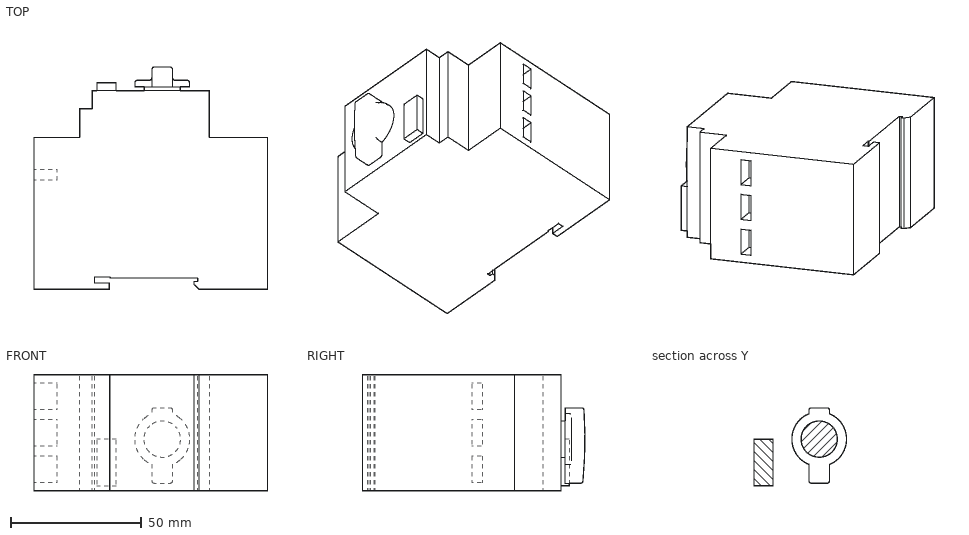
import cadquery as cq
import math

housing_length = 89.9
housing_height = 44.7
shoulder_y = 58.5
tower_left = 17.6
tower_right = 67.5
ledge_y = 69.5
face_left = 22.4
face_y = 76.4

rail_floor_y = 4.4
hook_left = 23.4
hook_right = 29.0
hook_bottom_y = 2.5
hook_top_y = 4.8
rail_step_x = 29.3
catch_root_x = 62.9
catch_top_y = 3.15
catch_tip_x = 61.5
catch_tip_y = 2.0
catch_base_x = 63.6

slot_count = 3
slot_pitch = 14.0
slot_width = 4.1
slot_height = 10.1
slot_depth = 9.0
slot_y = 44.1

block_x = 24.3
block_width = 7.4
block_z = 1.9
block_height = 18.0
block_top_y = 79.6

axis_x = 49.4
axis_z = 19.9
collar_diameter = 14.0
collar_thickness = 1.5
disc_diameter = 21.1
disc_thickness = 2.5
grip_width = 8.0
grip_above_axis = 12.05
grip_below_axis = 17.0
grip_crown_y = 85.6
grip_crown_radius = 170.8
knob_fillet = 1.0

knob_base_y = face_y + collar_thickness
disc_top_y = knob_base_y + disc_thickness


def make_housing():
    """Stepped DIN-rail housing with the terminal slots cut into its -X side."""
    outline = [
        (0, 0),
        (hook_right, 0),
        (hook_right, hook_bottom_y),
        (hook_left, hook_bottom_y),
        (hook_left, hook_top_y),
        (rail_step_x, hook_top_y),
        (rail_step_x, rail_floor_y),
        (catch_root_x, rail_floor_y),
        (catch_root_x, catch_top_y),
        (catch_tip_x, catch_top_y),
        (catch_tip_x, catch_tip_y),
        (catch_base_x, 0),
        (housing_length, 0),
        (housing_length, shoulder_y),
        (tower_right, shoulder_y),
        (tower_right, face_y),
        (face_left, face_y),
        (face_left, ledge_y),
        (tower_left, ledge_y),
        (tower_left, shoulder_y),
        (0, shoulder_y),
    ]
    body = cq.Workplane("XY").polyline(outline).close().extrude(housing_height)
    for index in range(slot_count):
        offset = (index - (slot_count - 1) / 2) * slot_pitch
        slot_center = (slot_depth / 2, slot_y, housing_height / 2 + offset)
        body = body.cut(cq.Workplane("XY").box(slot_depth, slot_width, slot_height).translate(slot_center))
    return body


def make_block():
    """Rectangular block standing on the housing face."""
    block = cq.Workplane("XY").box(block_width, block_top_y - face_y, block_height, centered=False)
    return block.translate((block_x, face_y, block_z))


def make_disc(diameter, thickness, base_y):
    """Round disc on the knob axis, growing toward +Y from base_y."""
    plane = cq.Plane(origin=(axis_x, base_y, axis_z), xDir=(1, 0, 0), normal=(0, 1, 0))
    return cq.Workplane(plane).circle(diameter / 2).extrude(thickness)


def crown_y(distance):
    """Height of the grip crown at a distance from the knob axis."""
    return grip_crown_y - grip_crown_radius + math.sqrt(grip_crown_radius**2 - distance**2)


def make_grip():
    """Finger grip with an arched crown; all edges but those of its base are rounded."""
    top_z = axis_z + grip_above_axis
    bottom_z = axis_z - grip_below_axis
    grip = (
        cq.Workplane("YZ")
        .workplane(offset=axis_x - grip_width / 2)
        .moveTo(knob_base_y, bottom_z)
        .lineTo(crown_y(grip_below_axis), bottom_z)
        .threePointArc((grip_crown_y, axis_z), (crown_y(grip_above_axis), top_z))
        .lineTo(knob_base_y, top_z)
        .close()
        .extrude(grip_width)
    )
    base_edges = cq.selectors.BoxSelector(
        (axis_x - grip_width, knob_base_y - knob_fillet, bottom_z - knob_fillet),
        (axis_x + grip_width, knob_base_y + knob_fillet, top_z + knob_fillet),
    )
    return grip.edges(cq.selectors.InverseSelector(base_edges)).fillet(knob_fillet)


def make_knob():
    """Disc carrying the grip, filleted where the two meet and rounded along the disc's rim."""
    knob = make_disc(disc_diameter, disc_thickness, knob_base_y).union(make_grip())
    joint_and_rim = cq.selectors.BoxSelector(
        (axis_x - disc_diameter, disc_top_y - knob_fillet / 2, axis_z - disc_diameter),
        (axis_x + disc_diameter, disc_top_y + knob_fillet / 2, axis_z + disc_diameter),
    )
    return knob.edges(joint_and_rim).fillet(knob_fillet)


housing = make_housing()
block = make_block()
collar = make_disc(collar_diameter, collar_thickness, face_y)
knob = make_knob()

result = cq.Compound.makeCompound([housing.val(), block.val(), collar.val(), knob.val()])